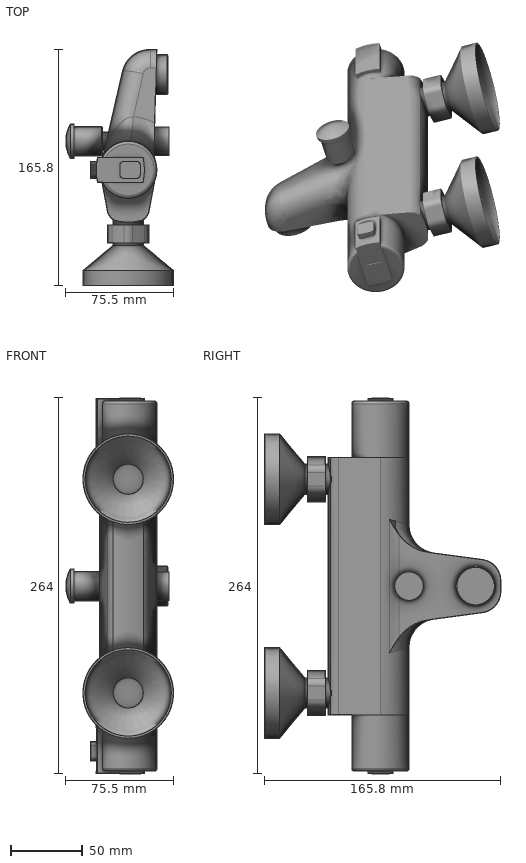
import cadquery as cq
import math

TUBE_R = 20.0
HOUSING_HALF_H = 90.3
FLANK_END_X = 14.5
FLANK_END_Y = -29.5
BACK_EDGE_X = 10.5
BACK_EDGE_Y = -35.0
BACK_Y = -36.7
CORNER_BULGE = 0.5

SPOUT_TIP_Y = 84.5
SPOUT_FACE_X = 20.0
SPOUT_LEAN = 0.23
SPOUT_UPPER_X = -19.93
SPOUT_FACE_ROOT_X = 17.7
SPOUT_ROOT_HALF_W = 28.2
SPOUT_TIP_HALF_W = 17.0
SPOUT_ROUND = 15.0
NOSE_ROUND = 20.0
ROOT_FILLET = 20.0
SELECT_MARGIN = 1.3

AERATOR_D = 28.0
AERATOR_Y = 66.8
AERATOR_SEAT_X = 18.5
AERATOR_END_X = 28.0
SMALL_CHAMFER = 0.8

CROSS_Y = 20.0
OUTLET_D = 20.0
OUTLET_END_X = 28.8
STEM_D = 13.0
KNOB_D = 20.5
KNOB_START_X = -18.0
KNOB_RIM_D = 24.0
KNOB_RIM_START_X = -38.0
KNOB_RIM_END_X = -40.7
KNOB_TOP_X = -43.8

HANDLE_TOP = 130.0
HANDLE_ROUND = 2.0
CLIP_HALF_W = 8.7
CLIP_BOTTOM = 97.5
CLIP_TOP = 131.5
CLIP_OUTER_X = -22.5
CLIP_INNER_X = 11.4
CLIP_END_BOW = 0.92
PAD_TOP = 132.0
PAD_L = 14.3
PAD_W = 12.0
PAD_X = 1.3
PAD_CORNER_R = 2.5
BUTTON_END_X = -26.5
BUTTON_H = 13.5
BUTTON_Z = 116.0

CONNECTOR_Z = 75.0
NECK_D = 21.0
NECK_SEAT_Y = -34.3
NUT_START_Y = -38.5
NUT_END_Y = -51.2
NUT_FLATS = 29.0
NUT_CORNER_R = 6.0
CONE_START_Y = -53.0
RIM_START_Y = -70.8
RIM_END_Y = -81.3
RIM_D = 63.5
RIM_BORE_D = 60.5
CUP_FLOOR_Y = -55.0


def cylinder_along_x(diameter, start_x, end_x, y):
    """Round bar parallel to X, centred at Z = 0."""
    return (cq.Workplane("YZ", origin=(start_x, 0, 0)).center(y, 0)
            .circle(diameter / 2).extrude(end_x - start_x))


def make_tube():
    """Bar with a round front, tapered flanks and a bowed back."""
    dx = FLANK_END_X - BACK_EDGE_X
    dy = FLANK_END_Y - BACK_EDGE_Y
    chord = math.hypot(dx, dy)
    corner_x = (FLANK_END_X + BACK_EDGE_X) / 2 + CORNER_BULGE * dy / chord
    corner_y = (FLANK_END_Y + BACK_EDGE_Y) / 2 - CORNER_BULGE * dx / chord
    return (cq.Workplane("XY", origin=(0, 0, -HOUSING_HALF_H))
            .moveTo(TUBE_R, 0)
            .threePointArc((0, TUBE_R), (-TUBE_R, 0))
            .lineTo(-FLANK_END_X, FLANK_END_Y)
            .threePointArc((-corner_x, corner_y), (-BACK_EDGE_X, BACK_EDGE_Y))
            .threePointArc((0, BACK_Y), (BACK_EDGE_X, BACK_EDGE_Y))
            .threePointArc((corner_x, corner_y), (FLANK_END_X, FLANK_END_Y))
            .close().extrude(2 * HOUSING_HALF_H))


def make_spout():
    """Block tapering towards its tip, rounded on every edge but those of its outlet side."""
    tip_upper_x = SPOUT_UPPER_X + SPOUT_LEAN * SPOUT_TIP_Y
    side_outline = (cq.Workplane("XY", origin=(0, 0, -SPOUT_ROOT_HALF_W))
                    .polyline([(SPOUT_UPPER_X, 0), (SPOUT_FACE_ROOT_X, 0),
                               (SPOUT_FACE_X, SPOUT_TIP_Y), (tip_upper_x, SPOUT_TIP_Y)])
                    .close().extrude(2 * SPOUT_ROOT_HALF_W))
    taper_outline = (cq.Workplane("YZ", origin=(SPOUT_UPPER_X, 0, 0))
                     .polyline([(0, -SPOUT_ROOT_HALF_W), (SPOUT_TIP_Y, -SPOUT_TIP_HALF_W),
                                (SPOUT_TIP_Y, SPOUT_TIP_HALF_W), (0, SPOUT_ROOT_HALF_W)])
                     .close().extrude(SPOUT_FACE_X - SPOUT_UPPER_X))
    block = side_outline.intersect(taper_outline)
    nose = block.faces(">Y").edges("<X").fillet(NOSE_ROUND)
    upper_edges = cq.selectors.BoxSelector(
        (SPOUT_UPPER_X, SELECT_MARGIN, -SPOUT_ROOT_HALF_W),
        (SPOUT_FACE_ROOT_X, SPOUT_TIP_Y - NOSE_ROUND, SPOUT_ROOT_HALF_W))
    return nose.edges(upper_edges).fillet(SPOUT_ROUND)


def join_spout(tube, spout):
    """Union of tube and spout with a flared root where they meet."""
    reach = TUBE_R + SELECT_MARGIN
    root = cq.selectors.BoxSelector(
        (-reach, SELECT_MARGIN, -HOUSING_HALF_H / 2), (reach, reach, HOUSING_HALF_H / 2))
    return tube.union(spout).edges(root).fillet(ROOT_FILLET)


def make_housing():
    """Tube with spout, hose outlet and diverter stem, recessed for aerator and wall connectors."""
    housing = join_spout(make_tube(), make_spout())
    outlet = cylinder_along_x(OUTLET_D, 0, OUTLET_END_X, CROSS_Y)
    stem = cylinder_along_x(STEM_D, KNOB_START_X, 0, CROSS_Y)
    housing = housing.union(outlet).union(stem)
    housing = housing.cut(cylinder_along_x(AERATOR_D, AERATOR_SEAT_X, AERATOR_END_X, AERATOR_Y))
    for side in (-1, 1):
        socket = (cq.Workplane("XZ", origin=(0, NECK_SEAT_Y, side * CONNECTOR_Z))
                  .circle(NECK_D / 2).extrude(NECK_SEAT_Y - BACK_Y))
        housing = housing.cut(socket)
    return housing


def make_aerator():
    """Plain disc with a lightly chamfered outlet."""
    return (cylinder_along_x(AERATOR_D, AERATOR_SEAT_X, AERATOR_END_X, AERATOR_Y)
            .faces(">X").edges().chamfer(SMALL_CHAMFER))


def make_diverter_knob():
    """Push knob: barrel, wider rim and domed end, revolved about the cross axis."""
    rim_r = KNOB_RIM_D / 2
    barrel_r = KNOB_D / 2
    sagitta = KNOB_RIM_END_X - KNOB_TOP_X
    dome_r = (rim_r ** 2 + sagitta ** 2) / (2 * sagitta)
    half_angle = math.asin(rim_r / dome_r) / 2
    dome_mid = (KNOB_TOP_X + dome_r * (1 - math.cos(half_angle)), dome_r * math.sin(half_angle))
    return (cq.Workplane("XY", origin=(0, CROSS_Y, 0))
            .moveTo(KNOB_TOP_X, 0)
            .threePointArc(dome_mid, (KNOB_RIM_END_X, rim_r))
            .lineTo(KNOB_RIM_START_X, rim_r)
            .lineTo(KNOB_RIM_START_X, barrel_r)
            .lineTo(KNOB_START_X - SMALL_CHAMFER, barrel_r)
            .lineTo(KNOB_START_X, barrel_r - SMALL_CHAMFER)
            .lineTo(KNOB_START_X, 0)
            .close().revolve(360, (0, 0, 0), (1, 0, 0)))


def make_handle():
    """Upper handle: round grip, wrap-over clip with bowed ends and a raised pad."""
    grip = (cq.Workplane("XY", origin=(0, 0, HOUSING_HALF_H))
            .circle(TUBE_R).extrude(HANDLE_TOP - HOUSING_HALF_H)
            .faces(">Z").edges().fillet(HANDLE_ROUND))
    outer_corner_x = CLIP_OUTER_X + CLIP_END_BOW
    inner_corner_x = CLIP_INNER_X - CLIP_END_BOW
    clip = (cq.Workplane("XY", origin=(0, 0, CLIP_BOTTOM))
            .moveTo(outer_corner_x, -CLIP_HALF_W)
            .lineTo(inner_corner_x, -CLIP_HALF_W)
            .threePointArc((CLIP_INNER_X, 0), (inner_corner_x, CLIP_HALF_W))
            .lineTo(outer_corner_x, CLIP_HALF_W)
            .threePointArc((CLIP_OUTER_X, 0), (outer_corner_x, -CLIP_HALF_W))
            .close().extrude(CLIP_TOP - CLIP_BOTTOM))
    pad = (cq.Workplane("XY", origin=(PAD_X, 0, HANDLE_TOP))
           .rect(PAD_L, PAD_W).extrude(PAD_TOP - HANDLE_TOP)
           .edges("|Z").fillet(PAD_CORNER_R))
    return grip.union(clip).union(pad)


def make_button_handle():
    """Lower handle: mirrored upper handle with a stop button on its clip."""
    button = (cq.Workplane("YZ", origin=(BUTTON_END_X, 0, -BUTTON_Z))
              .rect(PAD_W, BUTTON_H).extrude(-BUTTON_END_X)
              .edges("|X").fillet(PAD_CORNER_R))
    return make_handle().mirror("XY").union(button)


def make_connector(z):
    """Wall connector at height z: neck, hexagonal nut and hollow conical rosette."""
    neck_r = NECK_D / 2
    rim_r = RIM_D / 2
    bore_r = RIM_BORE_D / 2
    turned = (cq.Workplane("XY", origin=(0, 0, z))
              .polyline([(0, NECK_SEAT_Y), (neck_r, NECK_SEAT_Y), (neck_r, CONE_START_Y),
                         (rim_r, RIM_START_Y), (rim_r, RIM_END_Y), (bore_r, RIM_END_Y),
                         (bore_r, RIM_START_Y), (neck_r, CUP_FLOOR_Y), (0, CUP_FLOOR_Y)])
              .close().revolve(360, (0, 0, 0), (0, 1, 0)))
    nut_plane = cq.Workplane("XZ", origin=(0, NUT_START_Y, z))
    nut_length = NUT_START_Y - NUT_END_Y
    nut = (nut_plane.polygon(6, NUT_FLATS, circumscribed=True).extrude(nut_length)
           .edges("|Y").fillet(NUT_CORNER_R))
    return turned.union(nut)


housing = make_housing()
aerator = make_aerator()
diverter_knob = make_diverter_knob()
upper_handle = make_handle()
lower_handle = make_button_handle()
connectors = [make_connector(side * CONNECTOR_Z) for side in (-1, 1)]

result = cq.Compound.makeCompound([
    housing.val(),
    aerator.val(),
    diverter_knob.val(),
    upper_handle.val(),
    lower_handle.val(),
    *[connector.val() for connector in connectors],
])